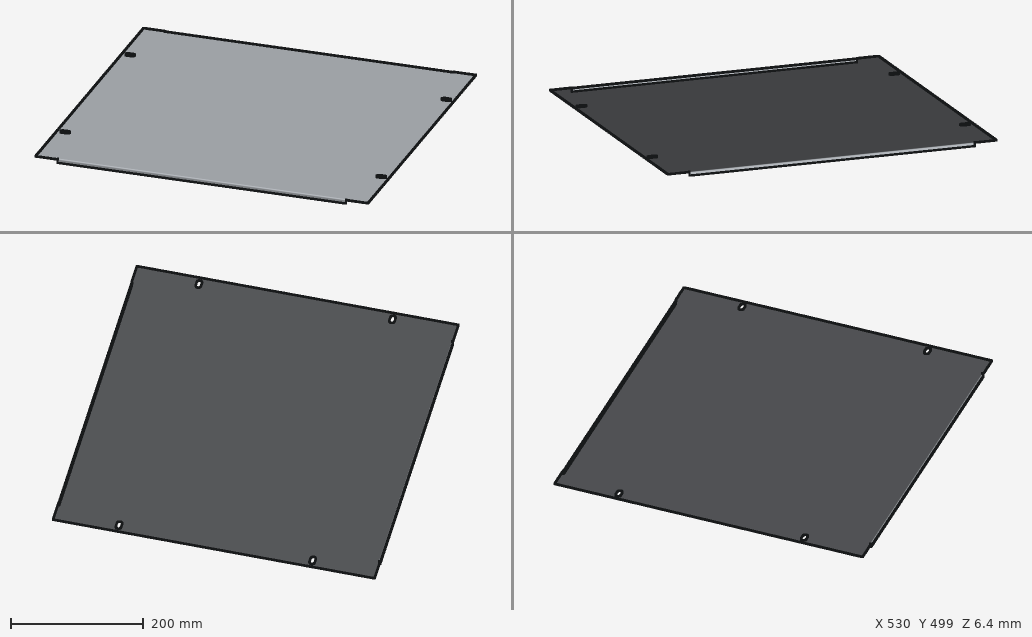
import cadquery as cq

panel_length = 530.0
panel_width = 499.0
sheet_thickness = 1.0

lip_length = 460.0
lip_straight_height = 4.4
bend_inner_radius = sheet_thickness
bend_outer_radius = bend_inner_radius + sheet_thickness
total_height = lip_straight_height + bend_outer_radius

slot_length = 15.0
slot_width = 8.0
slot_spacing_x = 504.0
slot_spacing_y = 300.5


def make_panel():
    """Flat sheet with its top face at Z = 0."""
    return cq.Workplane("XY").box(
        panel_length, panel_width, sheet_thickness, centered=(True, True, False)
    ).translate((0, 0, -sheet_thickness))


def make_folded_section():
    """Shallow channel: the web lies in the panel and its two sides form the lips."""
    inner_width = panel_width - 2 * sheet_thickness
    outside = (
        cq.Workplane("XY")
        .box(lip_length, panel_width, total_height, centered=(True, True, False))
        .translate((0, 0, -total_height))
        .edges("|X and >Z")
        .fillet(bend_outer_radius)
    )
    inside = (
        cq.Workplane("XY")
        .box(lip_length, inner_width, total_height, centered=(True, True, False))
        .translate((0, 0, -total_height - sheet_thickness))
        .edges("|X and >Z")
        .fillet(bend_inner_radius)
    )
    return outside.cut(inside)


def make_bend_clearance():
    """Full-height block that clears the flat sheet where the folded section goes."""
    return cq.Workplane("XY").box(lip_length, panel_width, 2 * total_height)


def make_slots():
    """Four through slots at the corners of a rectangle."""
    return (
        cq.Workplane("XY")
        .rect(slot_spacing_x, slot_spacing_y, forConstruction=True)
        .vertices()
        .slot2D(slot_length, slot_width)
        .extrude(-sheet_thickness)
    )


side_margins = make_panel().cut(make_bend_clearance())
result = side_margins.union(make_folded_section()).cut(make_slots())